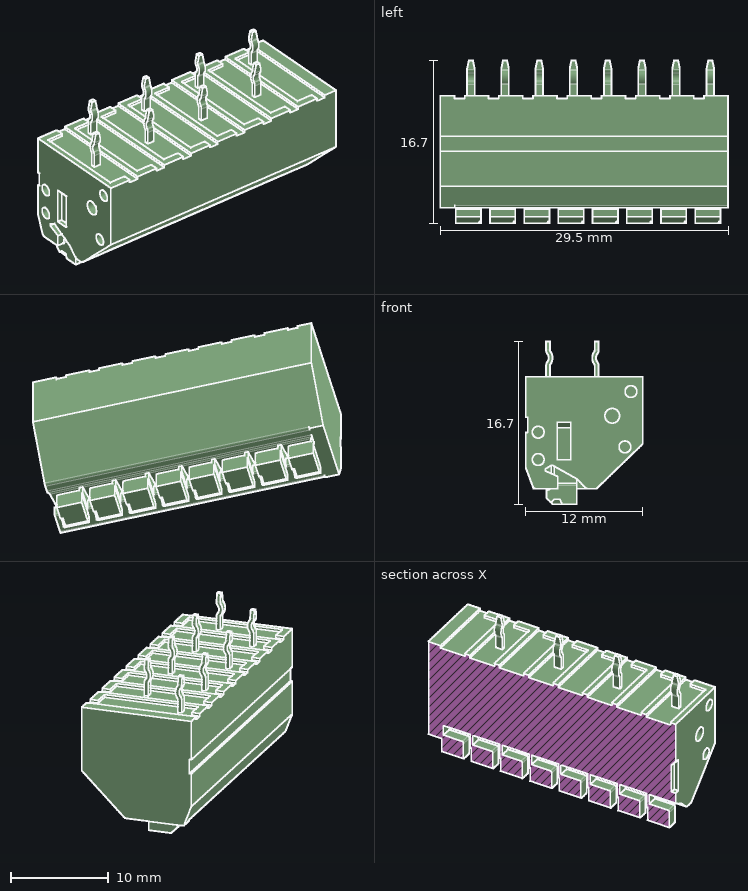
import cadquery as cq
import math


LENGTH = 29.5
DEPTH = 12.0
HEIGHT = 11.5
POLE_COUNT = 8
END_COVER = 1.48
POLES_LENGTH = LENGTH - END_COVER
PITCH = POLES_LENGTH / POLE_COUNT
BACK_SLOPE_X = 0.83
BACK_SLOPE_Z = 2.2
FRONT_SLOPE_X = 7.25
FRONT_SLOPE_Z = 4.6
TOE_RADIUS = 0.45
GROOVE_DEPTH = 0.2
GROOVE_BOTTOM = 5.78
GROOVE_HEIGHT = 1.53

RECESS_DEPTH = 0.3
RECESS_FLOOR = HEIGHT - RECESS_DEPTH
RIM_BAR = 0.62
RIM_ARM_WIDTH = 0.88
RIM_LENGTH = 2.48

SLOT_LEFT = 3.3
SLOT_LIP_Z = 1.27
SLOT_LIP_RADIUS = 0.15
SLOT_RIGHT = 6.25
SLOT_ROOF_LEFT = (2.7, 2.45)
SLOT_ROOF_RIGHT = (5.25, 1.03)
SLOT_NOSE = [(2.0, 1.85), (2.0, 2.05)]

LEVER_START = 0.77
LEVER_WIDTH = 2.63
LEVER_TOP = 0.55
LEVER_BOTTOM = -1.6
LEVER_RIGHT = SLOT_ROOF_RIGHT[0]
LEVER_LEFT = 2.12
LEVER_EDGE_RADIUS = 0.18
FOOT_CHAMFER = 0.68
FOOT_TOP_SLOPE_X = 0.4
FOOT_TOP_SLOPE_Z = 0.15
NOTCH_HEIGHT = 0.53
NOTCH_DEPTH = 0.27
NOTCH_BOTTOM_LEFT = 2.48
NOTCH_BOTTOM_RIGHT = 3.78
NOTCH_TOP_LEFT = 2.92
NOTCH_TOP_RIGHT = 3.5
WEB_LEFT = 2.65
WEB_CHAMFER_X = 0.3
WEB_CHAMFER_Y = 0.25
WEB_THICKNESS = 0.35

PIN_THICKNESS = 0.4
PIN_WIDTH = 0.8
PIN_HEIGHT = 3.6
PIN_TOP = HEIGHT + PIN_HEIGHT
PIN_NEAR_X = 2.3
PIN_SPACING = 5.0
PIN_OFFSET_Y = 1.83
PIN_TIP_WIDTH = 0.45
PIN_TIP_LENGTH = 0.83
KINK_DROP = 1.68
KINK_Z = PIN_TOP - KINK_DROP
KINK_ANGLE = math.radians(38)
KINK_INNER_RADIUS = 0.68
KINK_SHOULDER_RADIUS = 0.6

HOLE_DEPTH = 1.0
SMALL_HOLE = 1.2
LARGE_HOLE = 1.5
SMALL_HOLE_CENTRES = [(1.3, 5.8), (1.3, 3.0), (10.18, 4.3), (10.8, 9.97)]
LARGE_HOLE_CENTRE = (8.88, 7.5)
WINDOW_LEFT = 3.27
WINDOW_WIDTH = 1.35
WINDOW_BOTTOM = 2.98
WINDOW_HEIGHT = 3.84
WINDOW_DEPTH = 0.5
WINDOW_ROOF_DROP = 0.55

CLEARANCE = 0.3


def box(x, y, z, size_x, size_y, size_z):
    """Box given by its lowest corner and its sizes."""
    return cq.Workplane("XY").box(size_x, size_y, size_z, centered=False).translate((x, y, z))


def prism(xz_points, y, length):
    """Closed XZ outline carried along +Y from y."""
    return cq.Workplane("XZ", origin=(0, y, 0)).polyline(xz_points).close().extrude(-length)


def yz_prism(yz_points, x, length):
    """Closed YZ outline carried along +X from x."""
    return cq.Workplane("YZ", origin=(x, 0, 0)).polyline(yz_points).close().extrude(length)


def housing_block(y, length):
    return prism(
        [
            (0, HEIGHT),
            (0, BACK_SLOPE_Z),
            (BACK_SLOPE_X, 0),
            (FRONT_SLOPE_X, 0),
            (DEPTH, FRONT_SLOPE_Z),
            (DEPTH, HEIGHT),
        ],
        y,
        length,
    )


def lever_slot():
    outline = [
        (SLOT_LEFT, -CLEARANCE),
        (SLOT_LEFT, SLOT_LIP_Z),
        *SLOT_NOSE,
        SLOT_ROOF_LEFT,
        SLOT_ROOF_RIGHT,
        (SLOT_RIGHT, 0),
        (SLOT_RIGHT, -CLEARANCE),
    ]
    return prism(outline, 0, POLES_LENGTH)


def edge_at(x, z):
    """Selector for the long Y edge passing through (x, z)."""
    reach = 0.03
    return cq.selectors.BoxSelector(
        (x - reach, -CLEARANCE, z - reach), (x + reach, LENGTH, z + reach)
    )


def housing():
    poles = housing_block(0, POLES_LENGTH).cut(lever_slot())
    for corner_x in (BACK_SLOPE_X, SLOT_RIGHT, FRONT_SLOPE_X):
        poles = poles.edges("|Y").edges(edge_at(corner_x, 0)).fillet(TOE_RADIUS)
    poles = poles.edges("|Y").edges(edge_at(SLOT_LEFT, 0)).fillet(SLOT_LIP_RADIUS)
    body = poles.union(housing_block(POLES_LENGTH, END_COVER))
    return body.cut(box(0, 0, GROOVE_BOTTOM, GROOVE_DEPTH, LENGTH, GROOVE_HEIGHT))


def top_recess(y):
    """Full-depth groove joined to the pocket inside the U-shaped rim."""
    cut_height = RECESS_DEPTH + CLEARANCE
    groove = box(0, y + RIM_LENGTH, RECESS_FLOOR, DEPTH, PITCH - RIM_LENGTH, cut_height)
    pocket = box(
        RIM_ARM_WIDTH,
        y + RIM_BAR,
        RECESS_FLOOR,
        DEPTH - 2 * RIM_ARM_WIDTH,
        PITCH - RIM_BAR,
        cut_height,
    )
    return groove.union(pocket)


def lever_notch(y):
    """Sloped screwdriver notch at the foot of a lever."""
    notch_top = LEVER_BOTTOM + NOTCH_HEIGHT
    outline = prism(
        [
            (NOTCH_BOTTOM_LEFT, LEVER_BOTTOM),
            (NOTCH_TOP_LEFT, notch_top),
            (NOTCH_TOP_RIGHT, notch_top),
            (NOTCH_BOTTOM_RIGHT, LEVER_BOTTOM),
        ],
        y,
        NOTCH_DEPTH,
    )
    wedge = yz_prism(
        [(y, notch_top), (y, LEVER_BOTTOM), (y + NOTCH_DEPTH, LEVER_BOTTOM)], 0, DEPTH
    )
    return outline.intersect(wedge)


def lever(y):
    start = y + LEVER_START
    body = prism(
        [
            (SLOT_LEFT, LEVER_TOP),
            (LEVER_RIGHT, LEVER_TOP),
            (LEVER_RIGHT, LEVER_BOTTOM),
            (LEVER_LEFT + FOOT_CHAMFER, LEVER_BOTTOM),
            (LEVER_LEFT, LEVER_BOTTOM + FOOT_CHAMFER),
            (LEVER_LEFT, -FOOT_TOP_SLOPE_Z),
            (LEVER_LEFT + FOOT_TOP_SLOPE_X, 0),
            (SLOT_LEFT, 0),
        ],
        start,
        LEVER_WIDTH,
    )
    body = body.faces(">Z").edges("<Y").fillet(LEVER_EDGE_RADIUS)
    return body.cut(lever_notch(start))


def slot_web(y):
    """Wall closing the slot above the rear of a lever, with a slanted left edge."""
    back = y + PITCH
    front = back - WEB_THICKNESS
    plan = [
        (WEB_LEFT, back),
        (WEB_LEFT, front + WEB_CHAMFER_Y),
        (WEB_LEFT + WEB_CHAMFER_X, front),
        (LEVER_RIGHT, front),
        (LEVER_RIGHT, back),
    ]
    wall = cq.Workplane("XY").polyline(plan).close().extrude(SLOT_ROOF_LEFT[1])
    return wall.intersect(housing_block(0, LENGTH))


def kink_points(face_x, side, bend_radius, shoulder_radius):
    """Points down one face of a pin kink: shoulder, bend and shoulder arcs."""
    radius_sum = bend_radius + shoulder_radius

    def on_shoulder(angle):
        return shoulder_radius * (1 - math.cos(angle)), (
            radius_sum * math.sin(KINK_ANGLE) - shoulder_radius * math.sin(angle)
        )

    peak = radius_sum * (1 - math.cos(KINK_ANGLE))
    upper = [on_shoulder(KINK_ANGLE * part) for part in (0, 0.5, 1)]
    half_angle = KINK_ANGLE / 2
    bend_rise = bend_radius * (1 - math.cos(half_angle))
    upper.append((peak - bend_rise, bend_radius * math.sin(half_angle)))
    lower = [(x, -z) for x, z in reversed(upper)]
    return [(face_x + side * x, KINK_Z + z) for x, z in upper[:3] + [(peak, 0)] + lower[1:]]


def add_kink(sketch, points):
    sketch = sketch.lineTo(*points[0])
    for middle, end in zip(points[1::2], points[2::2]):
        sketch = sketch.threePointArc(middle, end)
    return sketch


def pin(y, x, side):
    """Flat pin kinked towards +X (side = 1) or -X (side = -1), with a tapered tip."""
    inner_x = x - side * PIN_THICKNESS / 2
    outer_x = x + side * PIN_THICKNESS / 2
    inner = kink_points(inner_x, side, KINK_INNER_RADIUS, KINK_SHOULDER_RADIUS)
    outer = kink_points(
        outer_x,
        side,
        KINK_INNER_RADIUS + PIN_THICKNESS,
        KINK_SHOULDER_RADIUS - PIN_THICKNESS,
    )
    root_z = RECESS_FLOOR - CLEARANCE
    sketch = cq.Workplane("XZ", origin=(0, y - PIN_WIDTH / 2, 0)).moveTo(inner_x, PIN_TOP)
    sketch = add_kink(sketch, inner)
    sketch = sketch.lineTo(inner_x, root_z).lineTo(outer_x, root_z)
    sketch = add_kink(sketch, outer[::-1])
    strip = sketch.lineTo(outer_x, PIN_TOP).close().extrude(-PIN_WIDTH)

    half_width = PIN_WIDTH / 2
    half_tip = PIN_TIP_WIDTH / 2
    tip_z = PIN_TOP - PIN_TIP_LENGTH
    face_outline = yz_prism(
        [
            (y - half_width, root_z),
            (y - half_width, tip_z),
            (y - half_tip, PIN_TOP),
            (y + half_tip, PIN_TOP),
            (y + half_width, tip_z),
            (y + half_width, root_z),
        ],
        0,
        DEPTH,
    )
    return strip.intersect(face_outline)


def side_holes():
    """Blind round holes entering the outer face at Y = 0."""
    plane = cq.Workplane("XZ")
    small = plane.pushPoints(SMALL_HOLE_CENTRES).circle(SMALL_HOLE / 2).extrude(-HOLE_DEPTH)
    large = plane.center(*LARGE_HOLE_CENTRE).circle(LARGE_HOLE / 2).extrude(-HOLE_DEPTH)
    return small.union(large)


def side_window():
    """Rectangular recess in the outer face, with a roof sloping down inwards."""
    top = WINDOW_BOTTOM + WINDOW_HEIGHT
    outline = [
        (0, WINDOW_BOTTOM),
        (WINDOW_DEPTH, WINDOW_BOTTOM),
        (WINDOW_DEPTH, top - WINDOW_ROOF_DROP),
        (0, top),
    ]
    return yz_prism(outline, WINDOW_LEFT, WINDOW_WIDTH)


result = housing().cut(side_holes()).cut(side_window())

for pole in range(POLE_COUNT):
    pole_y = pole * PITCH
    result = result.cut(top_recess(pole_y))
    result = result.union(slot_web(pole_y)).union(lever(pole_y))
    if pole % 2:
        result = result.union(pin(pole_y + PIN_OFFSET_Y, PIN_NEAR_X, 1))
    else:
        result = result.union(pin(pole_y + PIN_OFFSET_Y, PIN_NEAR_X + PIN_SPACING, -1))